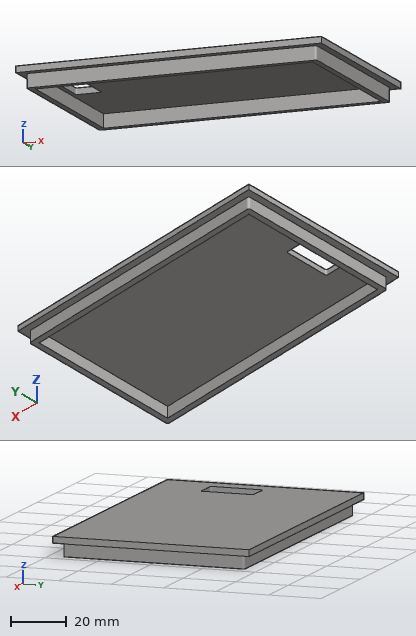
import cadquery as cq

plate_length = 118.0
plate_width = 74.8
plate_thickness = 2.5
total_height = 7.8

rim_inset_x = 3.0
rim_inset_y = 2.8
rim_corner_radius = 1.0
rim_wall = 2.5
rim_height = total_height - plate_thickness

window_length = 9.9
window_width = 19.8
window_corner_radius = 0.7
window_edge_gap = 7.3
window_center_y = -8.3
window_center_x = -plate_length / 2 + window_edge_gap + window_length / 2


def make_plate():
    """Flat cover with its underside at Z = 0."""
    return cq.Workplane("XY").box(
        plate_length, plate_width, plate_thickness, centered=(True, True, False)
    )


def make_rim():
    """Rectangular wall with rounded outer corners, hanging below the plate."""
    outer_length = plate_length - 2 * rim_inset_x
    outer_width = plate_width - 2 * rim_inset_y
    outer = (
        cq.Workplane("XY")
        .rect(outer_length, outer_width)
        .extrude(-rim_height)
        .edges("|Z")
        .fillet(rim_corner_radius)
    )
    inner = (
        cq.Workplane("XY")
        .rect(outer_length - 2 * rim_wall, outer_width - 2 * rim_wall)
        .extrude(-rim_height)
    )
    return outer.cut(inner)


def make_window():
    """Cutter with rounded corners, passing through the plate."""
    return (
        cq.Workplane("XY")
        .center(window_center_x, window_center_y)
        .rect(window_length, window_width)
        .extrude(plate_thickness)
        .edges("|Z")
        .fillet(window_corner_radius)
    )


result = make_plate().union(make_rim()).cut(make_window())